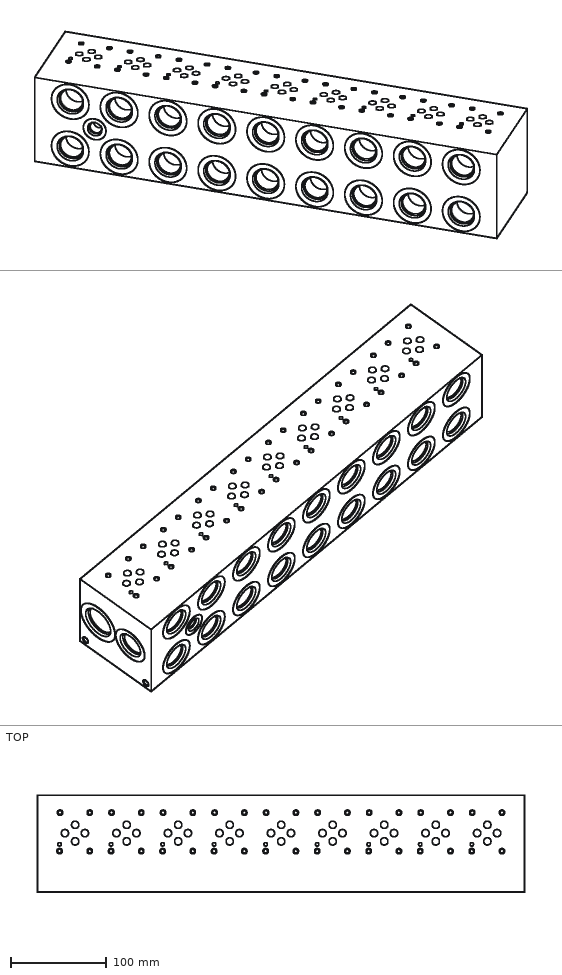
import cadquery as cq
import math

length, width, height = 511, 101.5, 101.5

station_count = 9
first_station = 39.5
station_pitch = (length - 2 * first_station) / (station_count - 1)
station_places = [first_station + i * station_pitch for i in range(station_count)]

large_port = (49.0, 36.0, 33.5, 31.0)
medium_port = (41.5, 29.0, 27.0, 24.5)
small_port = (25.0, 16.0, 14.5, 13.0)
spotface_depth = 0.5
cone_depth = 3.0
port_depth = 23.0
pilot_depth = 15.5

work_port_edge_gap = 22.5
upper_port_z = height - work_port_edge_gap
lower_port_z = work_port_edge_gap
pilot_x = first_station + station_pitch / 2
pilot_z = height / 2

supply_y = 30.0
tank_y = width - 25.5
end_port_z = height / 2

mount_inset = 7.5
mount_mouth = 8.0
mount_bore = 6.5
mount_depth = 15.5
drill_point_angle = 118

rear_bolt_y = width - 18.5
bolt_spacing_x = 31.0
bolt_offsets = [(0, 0), (bolt_spacing_x, 0), (0, 40.5), (31.5, 40.5)]
pin_offsets = [(31.5, 33.0)]
flow_offsets = [(15.5, 13.0), (15.5, 30.0), (26.0, 21.5), (5.0, 21.5)]
bolt_bore, bolt_mouth, bolt_depth = 4.05, 5.5, 13.0
pin_bore, pin_depth = 3.7, 4.0
flow_bore, flow_depth = 7.5, 15.5


def bore_cutter(profile):
    """Turned cutter about +Z, entering at Z = 0, from (radius, depth) points along its wall."""
    last_radius, bottom = profile[-1]
    points = [(0, 0)] + profile
    if last_radius > 0:
        points.append((0, bottom))
    return cq.Workplane("XZ").polyline(points).close().revolve(360, (0, 0, 0), (0, 1, 0))


def port_cutter(sizes, depth):
    """Port with a spotface, a tapered seal seat, a 45 degree lead-in and a flat-bottomed bore."""
    spotface, mouth, cone_end, bore = [diameter / 2 for diameter in sizes]
    cone_bottom = spotface_depth + cone_depth
    lead_in = cone_end - bore
    return bore_cutter([
        (spotface, 0),
        (spotface, spotface_depth),
        (mouth, spotface_depth),
        (cone_end, cone_bottom),
        (bore, cone_bottom + lead_in),
        (bore, depth),
    ])


def chamfered_cutter(mouth, bore, depth):
    """Flat-bottomed hole with a 45 degree chamfer at its mouth."""
    chamfer = (mouth - bore) / 2
    return bore_cutter([(mouth / 2, 0), (bore / 2, chamfer), (bore / 2, depth)])


def mount_cutter():
    """Chamfered hole ending in a drill point."""
    chamfer = (mount_mouth - mount_bore) / 2
    point_depth = mount_bore / 2 / math.tan(math.radians(drill_point_angle / 2))
    return bore_cutter([
        (mount_mouth / 2, 0),
        (mount_bore / 2, chamfer),
        (mount_bore / 2, mount_depth),
        (0, mount_depth + point_depth),
    ])


def on_front(cutter, x, z):
    """Aim a cutter into the -Y face."""
    return cutter.rotate((0, 0, 0), (1, 0, 0), -90).translate((x, 0, z))


def on_end(cutter, y, z):
    """Aim a cutter into the -X face."""
    return cutter.rotate((0, 0, 0), (0, 1, 0), 90).translate((0, y, z))


def on_top(cutter, x, y):
    """Aim a cutter down into the +Z face."""
    return cutter.rotate((0, 0, 0), (1, 0, 0), 180).translate((x, y, height))


def front_cutters():
    work_port = port_cutter(medium_port, port_depth)
    cutters = [on_front(work_port, x, z) for x in station_places for z in (lower_port_z, upper_port_z)]
    cutters.append(on_front(port_cutter(small_port, pilot_depth), pilot_x, pilot_z))
    return cutters


def end_cutters():
    mount = mount_cutter()
    return [
        on_end(port_cutter(medium_port, port_depth), supply_y, end_port_z),
        on_end(port_cutter(large_port, port_depth), tank_y, end_port_z),
        on_end(mount, mount_inset, mount_inset),
        on_end(mount, width - mount_inset, mount_inset),
    ]


def valve_face_cutters(station_x):
    groups = [
        (chamfered_cutter(bolt_mouth, bolt_bore, bolt_depth), bolt_offsets),
        (bore_cutter([(pin_bore / 2, 0), (pin_bore / 2, pin_depth)]), pin_offsets),
        (bore_cutter([(flow_bore / 2, 0), (flow_bore / 2, flow_depth)]), flow_offsets),
    ]
    bolt_x = station_x + bolt_spacing_x / 2
    return [
        on_top(cutter, bolt_x - dx, rear_bolt_y - dy)
        for cutter, offsets in groups
        for dx, dy in offsets
    ]


block = cq.Workplane("XY").box(length, width, height, centered=False)
cutters = front_cutters() + end_cutters()
for station_x in station_places:
    cutters += valve_face_cutters(station_x)

drilled = block.val().cut(*[cutter.val() for cutter in cutters])
result = cq.Workplane(drilled.Solids()[0])